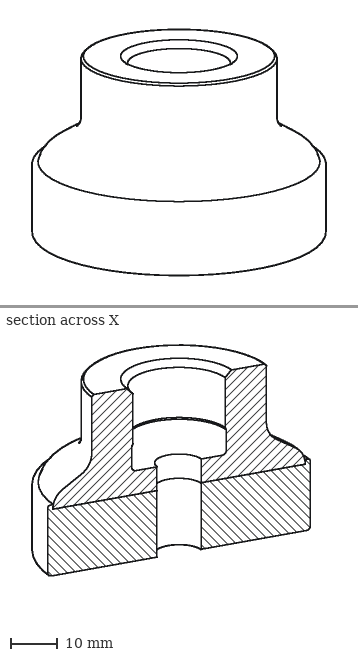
import cadquery as cq
import math

BASE_RADIUS = 31.55
BASE_TOP = 16.4
BASE_TOP_ROUND = 0.6
BASE_BOTTOM_ROUND = 1.0

TOTAL_HEIGHT = 40.0
NECK_RADIUS = 42.0 / 2
NECK_BOTTOM = 26.5
NECK_EDGE_CHAMFER = 0.5
SHOULDER_ROUND = 5.0
SHOULDER_SLOPE = 31.0
HUB_RADIUS = 30.35

BORE_RADIUS = 22.0 / 2
BORE_MOUTH_CHAMFER = 1.5
LOWER_BORE_RADIUS = 22.5 / 2
FLARE_TOP_Z = 27.0
FLARE_HEIGHT = 0.5
FLOOR_ROUND = 0.8
BORE_FLOOR_Z = 20.8
THROUGH_HOLE_RADIUS = 10.5 / 2

TURN = math.radians(90 - SHOULDER_SLOPE)
ROUND_WIDTH = SHOULDER_ROUND * (1 - math.cos(TURN))
ROUND_HEIGHT = SHOULDER_ROUND * math.sin(TURN)
MID_WIDTH = SHOULDER_ROUND * (1 - math.cos(TURN / 2))
MID_HEIGHT = SHOULDER_ROUND * math.sin(TURN / 2)

CONE_TOP_RADIUS = NECK_RADIUS + ROUND_WIDTH
CONE_TOP_Z = NECK_BOTTOM - ROUND_HEIGHT
CONE_BOTTOM_RADIUS = HUB_RADIUS - ROUND_WIDTH
CONE_DROP = (CONE_BOTTOM_RADIUS - CONE_TOP_RADIUS) * math.tan(math.radians(SHOULDER_SLOPE))
CONE_BOTTOM_Z = CONE_TOP_Z - CONE_DROP
HUB_BOTTOM = CONE_BOTTOM_Z - ROUND_HEIGHT


def revolve_profile(profile):
    """Turn a closed (radius, height) profile about the Z axis."""
    return profile.close().revolve(360, (0, 0, 0), (0, 1, 0))


def make_hub_blank():
    """Outer shape of the hub without its bore."""
    return revolve_profile(
        cq.Workplane("XZ")
        .moveTo(0, HUB_BOTTOM)
        .lineTo(HUB_RADIUS, HUB_BOTTOM)
        .threePointArc(
            (HUB_RADIUS - MID_WIDTH, HUB_BOTTOM + MID_HEIGHT),
            (CONE_BOTTOM_RADIUS, CONE_BOTTOM_Z),
        )
        .lineTo(CONE_TOP_RADIUS, CONE_TOP_Z)
        .threePointArc(
            (NECK_RADIUS + MID_WIDTH, NECK_BOTTOM - MID_HEIGHT),
            (NECK_RADIUS, NECK_BOTTOM),
        )
        .lineTo(NECK_RADIUS, TOTAL_HEIGHT - NECK_EDGE_CHAMFER)
        .lineTo(NECK_RADIUS - NECK_EDGE_CHAMFER, TOTAL_HEIGHT)
        .lineTo(0, TOTAL_HEIGHT)
    )


def make_bore():
    """Cutter for the through hole and the bore: rounded floor, flare and chamfered mouth."""
    return revolve_profile(
        cq.Workplane("XZ")
        .moveTo(0, 0)
        .lineTo(THROUGH_HOLE_RADIUS, 0)
        .lineTo(THROUGH_HOLE_RADIUS, BORE_FLOOR_Z)
        .lineTo(LOWER_BORE_RADIUS - FLOOR_ROUND, BORE_FLOOR_Z)
        .radiusArc((LOWER_BORE_RADIUS, BORE_FLOOR_Z + FLOOR_ROUND), -FLOOR_ROUND)
        .lineTo(LOWER_BORE_RADIUS, FLARE_TOP_Z - FLARE_HEIGHT)
        .lineTo(BORE_RADIUS, FLARE_TOP_Z)
        .lineTo(BORE_RADIUS, TOTAL_HEIGHT - BORE_MOUTH_CHAMFER)
        .lineTo(BORE_RADIUS + BORE_MOUTH_CHAMFER, TOTAL_HEIGHT)
        .lineTo(0, TOTAL_HEIGHT)
    )


def make_base(hub_blank, bore):
    """Round-edged disc with a shallow seat for the hub and the through hole."""
    disc = cq.Workplane("XY").circle(BASE_RADIUS).extrude(BASE_TOP)
    disc = disc.edges(">Z").fillet(BASE_TOP_ROUND)
    disc = disc.edges("<Z").fillet(BASE_BOTTOM_ROUND)
    return disc.cut(hub_blank).cut(bore)


hub_blank = make_hub_blank()
bore = make_bore()
hub = hub_blank.cut(bore)
base = make_base(hub_blank, bore)

result = cq.Compound.makeCompound([hub.val(), base.val()])